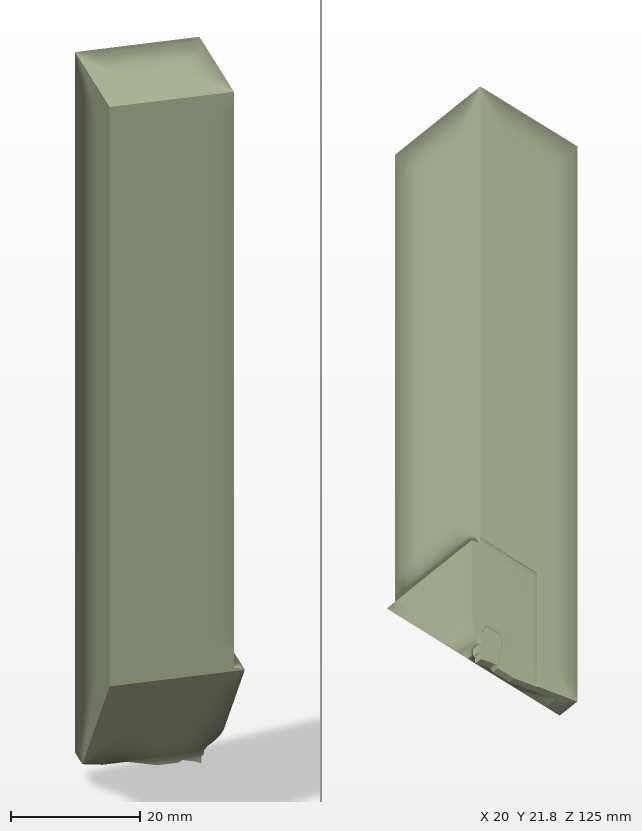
import cadquery as cq

total_length = 125.0
shank_size = 20.0
heel_height = 3.9

relief_start_height = 24.9
relief_end_x = 4.1

head_y = 21.8
ledge_inner_height = 25.5
ledge_outer_y = 21.4
ledge_outer_height = 25.1
head_top_height = 24.9
nose_straight_end = 8.9
nose_mid = (21.2, 6.8)
nose_end = (20.0, 4.8)
toe_height = 0.6
toe_front_y = 16.2
toe_back_y = 12.9
seat_y = 19.6
seat_height = 3.4
seat_low_height = 2.5

blade_back_x = 1.2
support_height = 3.0

side_relief = 0.1
side_relief_y = 8.2
side_relief_height = 26.5
relief_step_depth = side_relief / 2
relief_step_y = 14.5
relief_step_height = 26.8

insert_thickness = blade_back_x
insert_top = 8.0
pocket_clearance = 0.2
insert_outline = [
    (20.0, 0.0),
    (18.9, 0.5),
    (16.4, 1.1),
    (16.2, 4.5),
    (15.8, 5.0),
    (15.8, 7.1),
    (16.1, insert_top),
    (18.8, insert_top),
    (19.2, 6.8),
    (19.8, 5.9),
    (19.6, 3.4),
    (20.4, 3.0),
    (20.4, 1.5),
    (20.0, 1.2),
]
bevel_depth = 0.1
bevel_top = (20.4, 2.0)
bevel_bottom = (18.9, 0.5)


def side_prism(outline, start_x, width):
    """Extrude a closed (y, z) outline along +X."""
    return cq.Workplane("YZ", origin=(start_x, 0, 0)).polyline(outline).close().extrude(width)


def make_blank():
    """Full-width shank and head, with a rounded nose."""
    return (
        cq.Workplane("YZ")
        .moveTo(0, total_length)
        .lineTo(shank_size, total_length)
        .lineTo(shank_size, ledge_inner_height)
        .lineTo(ledge_outer_y, ledge_outer_height)
        .lineTo(head_y, head_top_height)
        .lineTo(head_y, nose_straight_end)
        .threePointArc(nose_mid, nose_end)
        .lineTo(seat_y, seat_height)
        .lineTo(seat_y, seat_low_height)
        .lineTo(toe_front_y, toe_height)
        .lineTo(toe_back_y, toe_height)
        .lineTo(0, heel_height)
        .close()
        .extrude(shank_size)
    )


def make_oblique_relief():
    """Wedge that slants the +X side down to the blade."""
    slope = (shank_size - relief_end_x) / (relief_start_height - heel_height)
    bottom_x = relief_end_x - slope * heel_height
    return (
        cq.Workplane("XZ")
        .polyline([(shank_size, relief_start_height), (bottom_x, 0), (shank_size, 0)])
        .close()
        .extrude(-head_y)
    )


def make_underside_step():
    """Clearance below the thick part, leaving only the thin blade."""
    return cq.Workplane("XY").box(
        shank_size, head_y, support_height, centered=False
    ).translate((blade_back_x, 0, 0))


def yz_block(start_y, top_z, depth):
    """Block on the -X face, from start_y to the head's +Y face and from z = 0 up to top_z."""
    outline = [(start_y, 0), (start_y, top_z), (head_y, top_z), (head_y, 0)]
    return side_prism(outline, 0, depth)


def make_side_relief():
    """Shallow recess in the -X face, with a half-depth step along part of its top."""
    recess = yz_block(side_relief_y, side_relief_height, side_relief)
    step = yz_block(relief_step_y, relief_step_height, relief_step_depth)
    return recess.union(step)


def make_insert_pocket():
    """Seat matching the insert, with a small gap above its top end."""
    outline = [
        (y, z + pocket_clearance) if z == insert_top else (y, z)
        for y, z in insert_outline
    ]
    return side_prism(outline, 0, insert_thickness)


def make_insert():
    """Cutting insert with a bevelled tip on its -X side."""
    body = side_prism(insert_outline, 0, insert_thickness)
    tip = (bevel_top[0], insert_outline[0][1])
    bevel = side_prism([bevel_top, bevel_bottom, tip], 0, bevel_depth)
    return body.cut(bevel)


holder = (
    make_blank()
    .cut(make_oblique_relief())
    .cut(make_underside_step())
    .cut(make_side_relief())
    .cut(make_insert_pocket())
)
insert = make_insert()

result = cq.Compound.makeCompound([holder.val(), insert.val()])